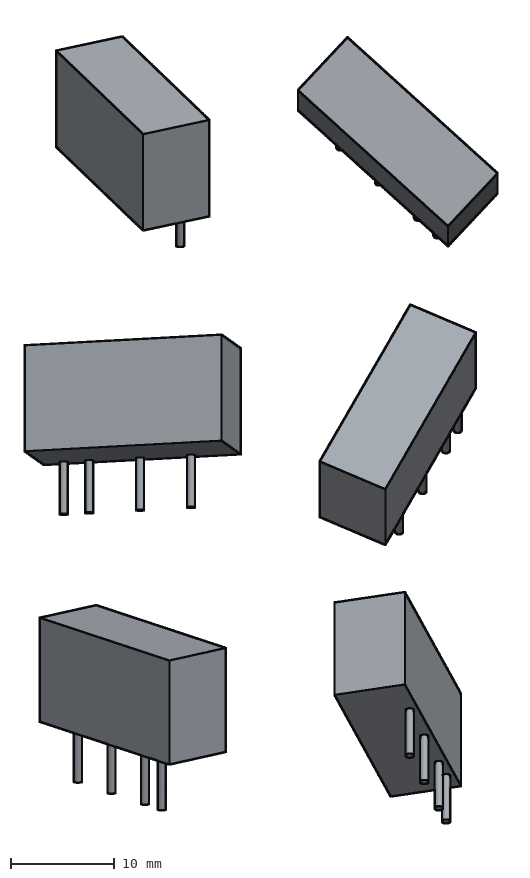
import cadquery as cq

housing_length = 19.65
housing_width = 7.05
overall_height = 15.51

pin_diameter = 0.8
pin_length = 5.1
pin_pitch = 2.54
pin_grid_steps = [-3, -2, 0, 2]
pin_row_inset = 0.87

housing_height = overall_height - pin_length
pin_row_y = housing_width / 2 - pin_row_inset


def make_housing():
    """Plain rectangular block with its underside on Z = 0."""
    return cq.Workplane("XY").box(
        housing_length, housing_width, housing_height, centered=(True, True, False)
    )


def make_pin(x):
    """Round pin hanging down from the underside of the housing."""
    return cq.Workplane("XY").center(x, pin_row_y).circle(pin_diameter / 2).extrude(-pin_length)


housing = make_housing()
pins = [make_pin(step * pin_pitch) for step in pin_grid_steps]

result = cq.Compound.makeCompound([housing.val(), *[pin.val() for pin in pins]])